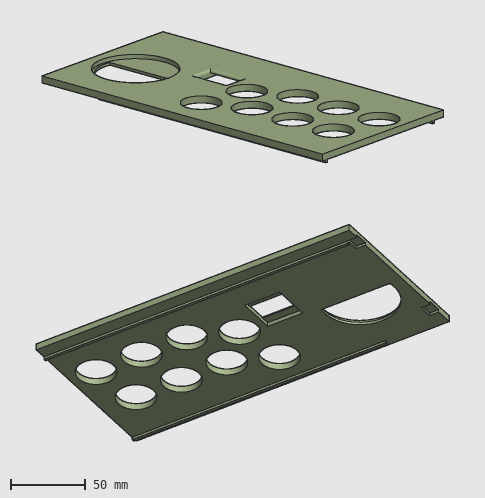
import cadquery as cq

length = 249.0
width = 123.0
thickness = 5.0

button_diameter = 28.0
pair_shift_x = 7.0
pair_shift_y = 38.3
column_pitch = 36.0
column_count = 3
first_column_x = 149.8
column_y = 41.8
single_pair_x = 117.0
single_pair_y = 28.0

recess_x = 37.0
recess_y = 52.8
recess_diameter = 59.0
recess_floor = 2.0
opening_diameter = 55.3
opening_top_y = 57.7

window_x = 90.9
window_y = 75.5
window_length = 27.6
window_width = 15.7
window_rounding = 2.0
window_pocket_width = 28.1

rib_height = 2.0
rib_width = 2.0
front_rib_x = 47.3
front_rib_y = 3.2
back_rib_y = 111.5

notch_depth = 7.2
notch_height = 2.0
notch_width = 10.5
front_notch_y = 13.0
back_notch_y = back_rib_y + rib_width - notch_width
back_rib_x = notch_depth


def corner_box(x, y, z, size_x, size_y, size_z):
    """Box given by its lowest corner and its sizes."""
    return cq.Workplane("XY").box(size_x, size_y, size_z, centered=False).translate((x, y, z))


def button_holes():
    pairs = [(single_pair_x, single_pair_y)]
    for column in range(column_count):
        pairs.append((first_column_x + column * column_pitch, column_y))
    centres = []
    for x, y in pairs:
        centres.append((x, y))
        centres.append((x + pair_shift_x, y + pair_shift_y))
    return cq.Workplane("XY").pushPoints(centres).circle(button_diameter / 2).extrude(thickness)


def recess():
    pocket = (
        cq.Workplane("XY", origin=(recess_x, recess_y, recess_floor))
        .circle(recess_diameter / 2)
        .extrude(thickness - recess_floor)
    )
    disc = (
        cq.Workplane("XY", origin=(recess_x, recess_y, 0))
        .circle(opening_diameter / 2)
        .extrude(recess_floor)
    )
    below_chord = corner_box(0, 0, 0, length, opening_top_y, recess_floor)
    return pocket.union(disc.intersect(below_chord))


def window_box(size_y, height):
    """Box as long as the window, centred on it and standing on the underside."""
    return corner_box(
        window_x - window_length / 2,
        window_y - size_y / 2,
        0,
        window_length,
        size_y,
        height,
    )


def add_window(body):
    """Cut the window, round its upper rim and widen it below the rounding."""
    opening = window_box(window_width, thickness)
    pocket = window_box(window_pocket_width, thickness - window_rounding)
    rim_edges = cq.selectors.BoxSelector(
        (window_x - window_length, window_y - window_width, thickness - window_rounding),
        (window_x + window_length, window_y + window_width, thickness + window_rounding),
    )
    return body.cut(opening).edges(rim_edges).fillet(window_rounding).cut(pocket)


def rib(start_x, y):
    return corner_box(start_x, y, -rib_height, length - start_x, rib_width, rib_height)


def notch(y):
    return corner_box(0, y, 0, notch_depth, notch_width, notch_height)


plate = add_window(corner_box(0, 0, 0, length, width, thickness))
plate = plate.cut(button_holes()).cut(recess())
plate = plate.cut(notch(front_notch_y)).cut(notch(back_notch_y))
result = plate.union(rib(front_rib_x, front_rib_y)).union(rib(back_rib_x, back_rib_y))